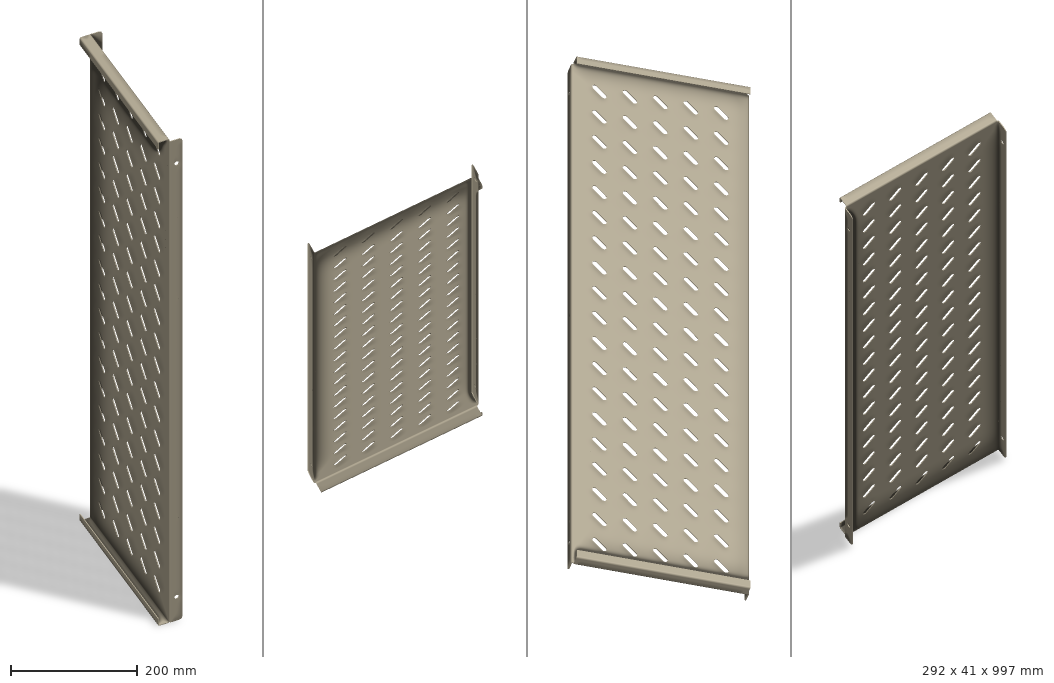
import cadquery as cq

width = 292.0
depth = 41.0
height = 997.0
sheet = 1.5
inner_radius = sheet
bend_radius = inner_radius + sheet

end_flange = 20.0
side_flange = depth + sheet - end_flange
lip = 15.0
end_clearance = 3.0
side_clearance = 3.5
corner_radius = 6.0

slot_columns = 5
slot_rows = 19
slot_field_height = 900.0
slot_pitch = slot_field_height / (slot_rows - 1)
slot_length = 30.0
slot_width = 8.5
slot_angle = -45.0

hole_diameter = 8.0
hole_from_end = 52.0
hole_from_edge = 10.0

back_y = depth / 2
front_y = -depth / 2
panel_back = front_y + end_flange
panel_front = panel_back - sheet


def box_between(x_range, y_range, z_range):
    """Box given by its lower and upper limits along each axis."""
    size = [high - low for low, high in (x_range, y_range, z_range)]
    corner = (x_range[0], y_range[0], z_range[0])
    return cq.Workplane("XY").box(*size, centered=False).translate(corner)


def rounded_bar(plane, size_1, size_2, length, radius):
    """Bar centred on the origin, with its four long edges rounded."""
    axis = {"XY": "|Z", "YZ": "|X"}[plane]
    return (
        cq.Workplane(plane)
        .workplane(offset=-length / 2)
        .rect(size_1, size_2)
        .extrude(length)
        .edges(axis)
        .fillet(radius)
    )


def side_channel():
    """Panel with both side flanges: the front half of a folded tube along Z."""
    length = height - 2 * end_clearance
    tube_depth = 2 * side_flange
    outside = rounded_bar("XY", width, tube_depth, length, bend_radius)
    inside = rounded_bar("XY", width - 2 * sheet, tube_depth - 2 * sheet, length, inner_radius)
    front_half = box_between(
        (-width / 2, width / 2),
        (-side_flange, 0),
        (-length / 2, length / 2),
    )
    channel = outside.cut(inside).intersect(front_half)
    return channel.edges("|X and >Y").fillet(corner_radius).translate((0, back_y, 0))


def end_channel():
    """Panel with both end flanges and lips: a folded tube along X, open between the lips."""
    length = width - 2 * side_clearance
    outside = rounded_bar("YZ", end_flange, height, length, bend_radius)
    inside = rounded_bar("YZ", end_flange - 2 * sheet, height - 2 * sheet, length, inner_radius)
    tube = outside.cut(inside).translate((0, (panel_back + front_y) / 2, 0))
    opening_top = height / 2 - lip
    opening = box_between(
        (-length / 2, length / 2),
        (front_y, panel_front - inner_radius),
        (-opening_top, opening_top),
    )
    return tube.cut(opening)


def slots():
    """Grid of slanted slots through the panel."""
    return (
        cq.Workplane("XZ", origin=(0, panel_back, 0))
        .rarray(slot_pitch, slot_pitch, slot_columns, slot_rows)
        .slot2D(slot_length, slot_width, slot_angle)
        .extrude(sheet)
    )


def mounting_holes():
    """One hole near each end, passing through both side flanges."""
    hole_z = height / 2 - hole_from_end
    return (
        cq.Workplane("YZ", origin=(-width / 2, back_y - hole_from_edge, 0))
        .pushPoints([(0, -hole_z), (0, hole_z)])
        .circle(hole_diameter / 2)
        .extrude(width)
    )


result = side_channel().union(end_channel()).cut(slots()).cut(mounting_holes())